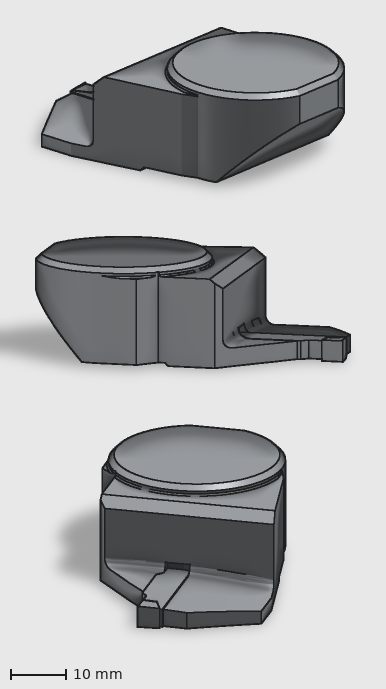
import cadquery as cq
import math


disc_radius = 16.05
disc_flat_x = 15.15
disc_chamfer = 1.0
disc_bottom_z = 16.7
total_height = 18.55
root_radius = 0.35

wall_x = -21.45
wall_chamfer_x = 2.2
wall_chamfer_z = 1.85
block_back_y = 12.7
block_back_left_x = -20.15
boss_corner_x = -6.4
boss_ramp_x = -9.65
front_corner = (-3.05, -17.05)
underside_step_x = -11.8
underside_step = 0.9
underside_slope_x = 3.9

blade_front_y = -21.0
blade_front_left_x = -33.1
blade_front_right_x = -26.05
blade_left_x = -40.1
blade_left_corner_y = -8.85
blade_back_start = (-32.7, 1.3)
blade_back_bend = (-29.35, 4.6)
blade_crown_y = 3.35
blade_crown_z = 3.85
blade_crown_radius = 207.55
underside_crest_z = 0.5
underside_radius = 426.35
root_fillet = 1.6

rib_top_z = 3.9
rib_front_y = -4.45
rib_back_y = 0.15
rib_wide_back_y = 1.3
rib_wide_start_x = -33.4
rib_wide_end_x = -23.7
rib_ramp = 1.25

pocket_end_x = -20.1
pocket_bend_y = -3.0
pocket_front_x = -20.5
pocket_top_z = 5.55

nose_x = disc_flat_x - 56.1
nose_front_x = -40.55
tip_top_z = 4.2
tip_heel_z = 4.05
tip_land = 0.35
tip_heel_x = -37.0
tip_inner_corner = (-37.3, -2.5)
tip_front_y = -3.9
tip_bottom_z = 0.15


def prism(outline, bottom, top):
    """Upright prism over an XY outline."""
    return cq.Workplane("XY").workplane(offset=bottom).polyline(outline).close().extrude(top - bottom)


def make_plan(height):
    """Block and blade seen from above, rounded on the disc side."""
    return (
        cq.Workplane("XY")
        .moveTo(0, disc_radius)
        .lineTo(boss_corner_x, disc_radius)
        .lineTo(boss_ramp_x, block_back_y)
        .lineTo(block_back_left_x, block_back_y)
        .lineTo(*blade_back_bend)
        .lineTo(*blade_back_start)
        .lineTo(blade_left_x, rib_front_y)
        .lineTo(blade_left_x, blade_left_corner_y)
        .lineTo(blade_front_left_x, blade_front_y)
        .lineTo(blade_front_right_x, blade_front_y)
        .lineTo(*front_corner)
        .lineTo(0, -disc_radius)
        .threePointArc((disc_radius, 0), (0, disc_radius))
        .close()
        .extrude(height)
    )


def make_side_profile():
    """Side outline of the block: chamfered wall, stepped underside and 45 degree back slope."""
    slope_end_z = underside_step + disc_flat_x - underside_slope_x
    outline = [
        (wall_x, 0),
        (underside_step_x, 0),
        (underside_step_x + underside_step, underside_step),
        (underside_slope_x, underside_step),
        (disc_flat_x, slope_end_z),
        (disc_flat_x, disc_bottom_z),
        (wall_x + wall_chamfer_x, disc_bottom_z),
        (wall_x, disc_bottom_z - wall_chamfer_z),
    ]
    return cq.Workplane("XZ").polyline(outline).close().extrude(2 * disc_radius, both=True)


def make_blade():
    """Crowned blade and its concave fillet to the wall, turned about an axis along X."""
    axis_z = blade_crown_z - blade_crown_radius
    diagonal = root_fillet * math.sqrt(0.5)
    return (
        cq.Workplane("XZ", origin=(0, blade_crown_y, 0))
        .moveTo(nose_x, axis_z)
        .lineTo(nose_x, blade_crown_z)
        .lineTo(wall_x - root_fillet, blade_crown_z)
        .threePointArc(
            (wall_x - root_fillet + diagonal, blade_crown_z + root_fillet - diagonal),
            (wall_x, blade_crown_z + root_fillet),
        )
        .lineTo(wall_x, axis_z)
        .close()
        .revolve(360, (0, axis_z, 0), (1, axis_z, 0))
    )


def make_underside_relief():
    """Shallow hollow under the blade and the left part of the block."""
    return (
        cq.Workplane("YZ", origin=(nose_x, 0, underside_crest_z - underside_radius))
        .circle(underside_radius)
        .extrude(underside_step_x + underside_step - nose_x)
    )


def make_rib():
    """Flat rib running from the nose to the wall, and the clear space above it."""
    outline = [
        (nose_x, rib_back_y),
        (rib_wide_start_x - rib_ramp, rib_back_y),
        (rib_wide_start_x, rib_wide_back_y),
        (rib_wide_end_x, rib_wide_back_y),
        (rib_wide_end_x + rib_ramp, rib_back_y),
        (wall_x, rib_back_y),
        (wall_x, rib_front_y),
        (nose_front_x, rib_front_y),
    ]
    rib = prism(outline, 0, rib_top_z)
    clearance = prism(outline, rib_top_z, disc_bottom_z)
    return rib, clearance


def make_pocket():
    """Recess in the wall above the end of the rib, with a bent end face."""
    outline = [
        (wall_x, rib_back_y),
        (pocket_end_x, rib_back_y),
        (pocket_end_x, pocket_bend_y),
        (pocket_front_x, rib_front_y),
        (wall_x, rib_front_y),
    ]
    return prism(outline, rib_top_z, pocket_top_z)


def make_disc():
    """Chamfered round disc with a flared root, cut by a chamfered flat at +X."""
    upright = (
        cq.Workplane("XZ")
        .moveTo(0, disc_bottom_z)
        .lineTo(disc_radius + root_radius, disc_bottom_z)
        .threePointArc(
            (
                disc_radius + root_radius * (1 - math.sqrt(0.5)),
                disc_bottom_z + root_radius * (1 - math.sqrt(0.5)),
            ),
            (disc_radius, disc_bottom_z + root_radius),
        )
        .lineTo(disc_radius, total_height - disc_chamfer)
        .lineTo(disc_radius - disc_chamfer, total_height)
        .lineTo(0, total_height)
        .close()
        .revolve(360, (0, 0, 0), (0, 1, 0))
    )
    span = 4 * disc_radius
    envelope = (
        cq.Workplane("XY")
        .workplane(offset=disc_bottom_z)
        .center(disc_flat_x - span / 2, 0)
        .rect(span, 2 * disc_radius)
        .extrude(total_height - disc_bottom_z)
        .faces(">Z")
        .edges(">X")
        .chamfer(disc_chamfer)
    )
    return upright.intersect(envelope)


def make_tip():
    """Full-height cutting tip with a short land falling back from the nose; also its seat."""
    front_ratio = (rib_back_y - tip_front_y) / (rib_back_y - rib_front_y)
    outline = [
        (nose_x, rib_back_y),
        (tip_heel_x, rib_back_y),
        tip_inner_corner,
        (nose_x + (nose_front_x - nose_x) * front_ratio, tip_front_y),
    ]
    side = [
        (nose_x, tip_bottom_z),
        (tip_heel_x, tip_bottom_z),
        (tip_heel_x, tip_heel_z),
        (nose_x + tip_land, tip_heel_z),
        (nose_x, tip_top_z),
    ]
    envelope = cq.Workplane("XZ").polyline(side).close().extrude(disc_radius, both=True)
    seat = prism(outline, 0, total_height)
    return seat.intersect(envelope), seat


def make_holder(tip_seat):
    """Block, blade, rib and disc in one piece, hollowed below and notched for the tip."""
    plan = make_plan(disc_bottom_z)
    disc = make_disc().intersect(make_plan(total_height))
    rib, clearance = make_rib()
    holder = plan.intersect(make_side_profile()).union(plan.intersect(make_blade()))
    holder = holder.cut(clearance).cut(make_pocket()).union(rib).union(disc)
    return holder.cut(make_underside_relief()).cut(tip_seat)


tip, tip_seat = make_tip()
holder = make_holder(tip_seat)

result = cq.Compound.makeCompound([holder.val(), tip.val()])